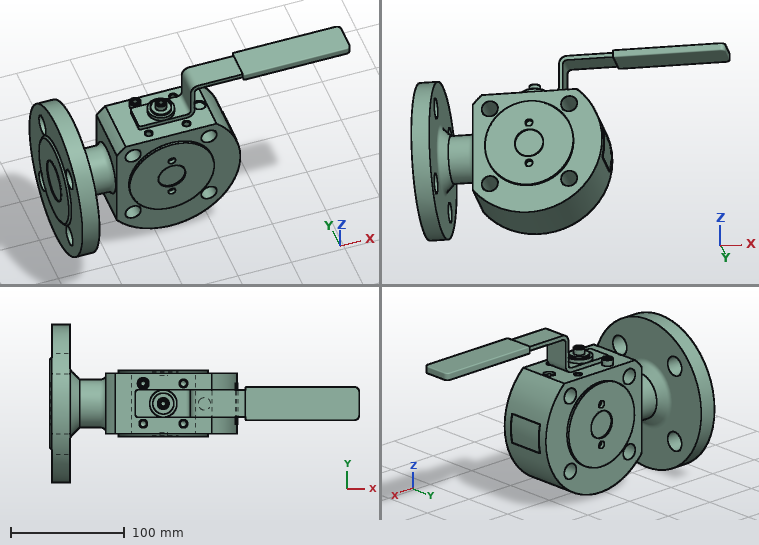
import cadquery as cq
import math


flange_radius = 69.8
raised_face_height = 2.0
raised_face_radius = 39.0
raised_face_base_radius = raised_face_radius + raised_face_height
flange_back_x = 18.0
bolt_offset = 35.5
flange_hole_diameter = 18.0
bore_diameter = 37.3
recess_depth = 0.8

pipe_radius = 21.3
pipe_start_x = 26.5
pipe_end_x = 44.5
neck_fillet = 5.5
neck_overlap = 2.7
flare_radius = 6.3

body_x = 100.0
body_radius = 64.9
body_width = 53.5
body_left_x = body_x - 50.7
body_top_z = 49.0
body_hole_diameter = 14.5
cover_radius = 39.5
cover_height = 2.5
cover_recess_diameter = 25.3
cover_recess_depth = 1.4
cover_hole_offset = 19.0
cover_hole_diameter = 6.5
cover_hole_depth = 4.0
side_pad_width = 36.0
side_pad_height = 27.2
side_pad_rise = 0.68
top_recess_offset = 36.0
top_recess_diameter = 11.0
top_recess_depth = 2.2

mount_hole_diameter = 5.7
mount_mouth_diameter = 7.4
mount_hole_depth = 11.0
drill_point_slope = 30
mount_offset = 17.7
post_hole_bore = 4.5
post_mouth_diameter = 5.7
post_hole_depth = 5.5

post_diameter = 10.0
post_chamfer = 0.8
post_root_depth = 13.5
stem_top_z = 65.0
post_top_z = 55.3
lower_collar_diameter = 24.0
lower_collar_top_z = 57.5
upper_collar_diameter = 18.5
upper_collar_top_z = 59.0

lever_width = 24.0
lever_start_x = 75.5
lever_corner = 2.0
lever_thickness = 4.0
lever_low_z = 50.0
lever_high_z = 82.8
riser_x = 123.7
riser_thickness = 3.5
bend_inner_radius = 3.8
bend_outer_radius = 7.4
grip_start_x = 172.2
grip_end_x = 272.5
grip_width = 29.5
grip_bottom_z = 81.5
grip_top_z = 88.5
grip_corner = 4.4
grip_edge = 1.0


def cylinder(start, direction, diameter, length):
    """Solid cylinder from a start point along a direction."""
    solid = cq.Solid.makeCylinder(diameter / 2, length, cq.Vector(*start), cq.Vector(*direction))
    return cq.Workplane(obj=solid)


def drilled_hole(mouth, direction, bore, mouth_diameter, depth):
    """Cutting tool for a blind hole: countersunk mouth, straight bore, conical drill point."""
    countersink_depth = (mouth_diameter - bore) / 2
    point_depth = bore / 2 * math.tan(math.radians(drill_point_slope))
    profile = (
        cq.Workplane("XZ")
        .polyline([
            (0, 0),
            (mouth_diameter / 2, 0),
            (bore / 2, -countersink_depth),
            (bore / 2, -depth),
            (0, -depth - point_depth),
        ])
        .close()
        .revolve(360, (0, 0, 0), (0, 1, 0))
    )
    outward = cq.Vector(*direction).multiply(-1)
    plane = cq.Plane(origin=mouth, xDir=(1, 0, 0), normal=outward.toTuple())
    return cq.Workplane(obj=profile.val().located(cq.Location(plane)))


def corner_positions(offset):
    return [(a * offset, b * offset) for a in (-1, 1) for b in (-1, 1)]


def flange_and_neck():
    """Flange, raised face, cone, pipe and flare as one revolved profile about X."""
    diagonal = math.sqrt(0.5)
    cone_end_x = flange_back_x + neck_fillet * (1 - diagonal)
    cone_end_radius = pipe_radius + pipe_start_x - cone_end_x
    fillet_centre_x = flange_back_x + neck_fillet
    fillet_centre_radius = cone_end_radius + neck_fillet * diagonal
    fillet_mid = (
        fillet_centre_x - neck_fillet * math.cos(math.pi / 8),
        fillet_centre_radius - neck_fillet * math.sin(math.pi / 8),
    )

    flare_length = body_left_x - pipe_end_x
    flare_angle = math.asin(flare_length / flare_radius)

    def flare_point(angle):
        return (
            pipe_end_x + flare_radius * math.sin(angle),
            pipe_radius + flare_radius * (1 - math.cos(angle)),
        )

    neck_end_x = body_left_x + neck_overlap
    flare_end = flare_point(flare_angle)
    solid = (
        cq.Workplane("XY")
        .moveTo(0, 0)
        .lineTo(0, raised_face_radius)
        .lineTo(raised_face_height, raised_face_base_radius)
        .lineTo(raised_face_height, flange_radius)
        .lineTo(flange_back_x, flange_radius)
        .lineTo(flange_back_x, fillet_centre_radius)
        .threePointArc(fillet_mid, (cone_end_x, cone_end_radius))
        .lineTo(pipe_start_x, pipe_radius)
        .lineTo(pipe_end_x, pipe_radius)
        .threePointArc(flare_point(flare_angle / 2), flare_end)
        .lineTo(neck_end_x, flare_end[1])
        .lineTo(neck_end_x, 0)
        .close()
        .revolve(360, (0, 0, 0), (1, 0, 0))
    )
    for y, z in corner_positions(bolt_offset):
        solid = solid.cut(cylinder((0, y, z), (1, 0, 0), flange_hole_diameter, flange_back_x))
    return solid.cut(cylinder((0, 0, 0), (1, 0, 0), bore_diameter, recess_depth))


def valve_body():
    """Disc cut flat on the left and top, with a round cover on both faces."""
    half_width = body_width / 2
    solid = cylinder((body_x, -half_width, 0), (0, 1, 0), 2 * body_radius, body_width)
    keep_size = 2 * body_radius
    keep = cq.Workplane("XY").box(keep_size, body_width, keep_size, centered=(False, True, False))
    solid = solid.intersect(keep.translate((body_left_x, 0, body_top_z - keep_size)))

    pad_radius = body_radius + side_pad_rise
    pad = cylinder((body_x, -side_pad_width / 2, 0), (0, 1, 0), 2 * pad_radius, side_pad_width)
    window = cq.Workplane("XY").box(
        pad_radius, side_pad_width, side_pad_height, centered=(False, True, True)
    )
    solid = solid.union(pad.intersect(window.translate((body_x, 0, 0))))

    cover_y = half_width + cover_height
    solid = solid.union(
        cylinder((body_x, -cover_y, 0), (0, 1, 0), 2 * cover_radius, 2 * cover_y)
    )
    for x, z in corner_positions(bolt_offset):
        start = (body_x + x, -half_width, z)
        solid = solid.cut(cylinder(start, (0, 1, 0), body_hole_diameter, body_width))
    for side in (-1, 1):
        inward = (0, -side, 0)
        face_centre = (body_x, side * cover_y, 0)
        solid = solid.cut(cylinder(face_centre, inward, cover_recess_diameter, cover_recess_depth))
        for z in (-cover_hole_offset, cover_hole_offset):
            mouth = (body_x, side * cover_y, z)
            solid = solid.cut(cylinder(mouth, inward, cover_hole_diameter, cover_hole_depth))
    for x, y in corner_positions(mount_offset):
        mouth = (body_x + x, y, body_top_z)
        solid = solid.cut(
            drilled_hole(mouth, (0, 0, -1), mount_hole_diameter, mount_mouth_diameter, mount_hole_depth)
        )
    recess_centre = (body_x + top_recess_offset, 0, body_top_z)
    return solid.cut(cylinder(recess_centre, (0, 0, -1), top_recess_diameter, top_recess_depth))


def upright_post(x, y, top_z):
    """Chamfered round post rooted in the body."""
    root_z = body_top_z - post_root_depth
    post = cylinder((x, y, root_z), (0, 0, 1), post_diameter, top_z - root_z)
    return post.faces(">Z").chamfer(post_chamfer)


def post_socket(x, y, top_z):
    """Cutting tool for the blind hole in the top of a post."""
    return drilled_hole(
        (x, y, top_z), (0, 0, -1), post_hole_bore, post_mouth_diameter, post_hole_depth
    )


def stem_and_stop():
    """Stem with two collars on the body axis, and the stop post beside the lever."""
    stem = upright_post(body_x, 0, stem_top_z)
    collars = [
        (lower_collar_diameter, lower_collar_top_z),
        (upper_collar_diameter, upper_collar_top_z),
    ]
    for diameter, top_z in collars:
        start = (body_x, 0, lever_low_z)
        stem = stem.union(cylinder(start, (0, 0, 1), diameter, top_z - lever_low_z))
    stem = stem.cut(post_socket(body_x, 0, stem_top_z))

    stop_x = body_x - mount_offset
    stop = upright_post(stop_x, mount_offset, post_top_z)
    return stem, stop.cut(post_socket(stop_x, mount_offset, post_top_z))


def lever():
    """Flat bar cranked upward, with a rounded grip at its free end."""
    riser_end_x = riser_x + riser_thickness
    low_top_z = lever_low_z + lever_thickness
    high_top_z = lever_high_z + lever_thickness
    bar_end_x = (grip_start_x + grip_end_x) / 2
    bar = (
        cq.Workplane("XZ")
        .polyline([
            (lever_start_x, lever_low_z),
            (riser_end_x, lever_low_z),
            (riser_end_x, lever_high_z),
            (bar_end_x, lever_high_z),
            (bar_end_x, high_top_z),
            (riser_x, high_top_z),
            (riser_x, low_top_z),
            (lever_start_x, low_top_z),
        ])
        .close()
        .extrude(lever_width / 2, both=True)
    )

    def bend_edge(x, z):
        return cq.selectors.NearestToPointSelector((x, 0, z))

    bar = bar.edges("|Y").edges(bend_edge(riser_end_x, lever_low_z)).fillet(bend_outer_radius)
    bar = bar.edges("|Y").edges(bend_edge(riser_x, high_top_z)).fillet(bend_outer_radius)
    bar = bar.edges("|Y").edges(bend_edge(riser_x, low_top_z)).fillet(bend_inner_radius)
    bar = bar.edges("|Y").edges(bend_edge(riser_end_x, lever_high_z)).fillet(bend_inner_radius)
    bar = bar.faces("<X").edges("|Z").fillet(lever_corner)

    grip = (
        cq.Workplane("XY")
        .box(
            grip_end_x - grip_start_x,
            grip_width,
            grip_top_z - grip_bottom_z,
            centered=(False, True, False),
        )
        .translate((grip_start_x, 0, grip_bottom_z))
    )
    grip = grip.faces(">X").edges("|Z").fillet(grip_corner)
    grip = grip.edges().fillet(grip_edge)
    return bar.union(grip)


stem, stop = stem_and_stop()
result = flange_and_neck().union(valve_body()).union(lever()).union(stem).union(stop)